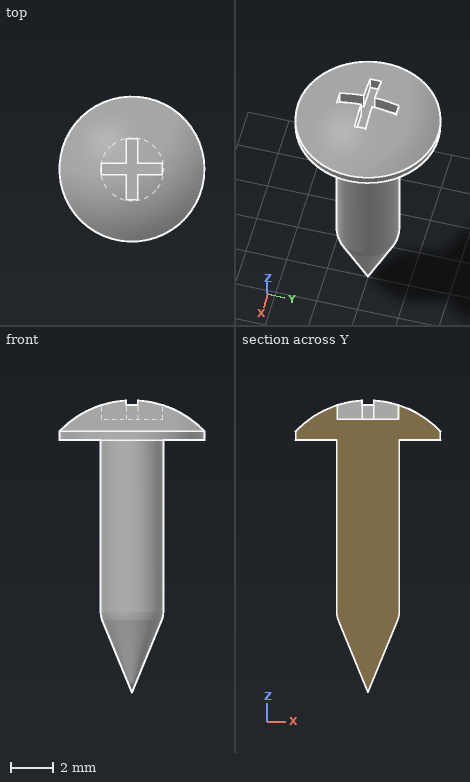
import cadquery as cq
import math


head_diameter = 6.9
head_height = 1.9
rim_height = 0.42

shank_diameter = 3.0
length_below_head = 12.0
point_length = 3.64
point_blend_radius = 1.0

recess_span = 2.9
recess_width = 0.54
recess_depth = 0.9

head_radius = head_diameter / 2
dome_height = head_height - rim_height
dome_radius = (head_radius**2 + dome_height**2) / (2 * dome_height)


def make_head():
    """Flat-bottomed rim carrying a spherical dome."""
    half_arc_angle = math.asin(head_radius / dome_radius) / 2
    dome_mid_x = dome_radius * math.sin(half_arc_angle)
    dome_mid_z = head_height - dome_radius * (1 - math.cos(half_arc_angle))
    profile = (
        cq.Workplane("XZ")
        .lineTo(head_radius, 0)
        .lineTo(head_radius, rim_height)
        .threePointArc((dome_mid_x, dome_mid_z), (0, head_height))
        .close()
    )
    return profile.revolve(360, (0, 0), (0, 1))


def make_shank():
    """Cylindrical shank ending in a cone, with a tangent blend between them."""
    shank_radius = shank_diameter / 2
    shoulder_z = point_length - length_below_head
    cone_half_angle = math.atan(shank_radius / point_length)

    tangent_length = point_blend_radius * math.tan(cone_half_angle / 2)
    blend_center_x = shank_radius - point_blend_radius
    blend_top_z = shoulder_z + tangent_length
    blend_mid = (
        blend_center_x + point_blend_radius * math.cos(cone_half_angle / 2),
        blend_top_z - point_blend_radius * math.sin(cone_half_angle / 2),
    )
    blend_end = (
        blend_center_x + point_blend_radius * math.cos(cone_half_angle),
        blend_top_z - point_blend_radius * math.sin(cone_half_angle),
    )
    profile = (
        cq.Workplane("XZ")
        .moveTo(0, rim_height)
        .lineTo(shank_radius, rim_height)
        .lineTo(shank_radius, blend_top_z)
        .threePointArc(blend_mid, blend_end)
        .lineTo(0, -length_below_head)
        .close()
    )
    return profile.revolve(360, (0, 0), (0, 1))


def make_recess():
    """Two crossed flat-bottomed slots cut down from the top of the dome."""
    floor = cq.Workplane("XY").workplane(offset=head_height - recess_depth)
    slot_along_x = floor.rect(recess_span, recess_width).extrude(recess_depth)
    slot_along_y = floor.rect(recess_width, recess_span).extrude(recess_depth)
    return slot_along_x.union(slot_along_y)


result = make_head().union(make_shank()).cut(make_recess())